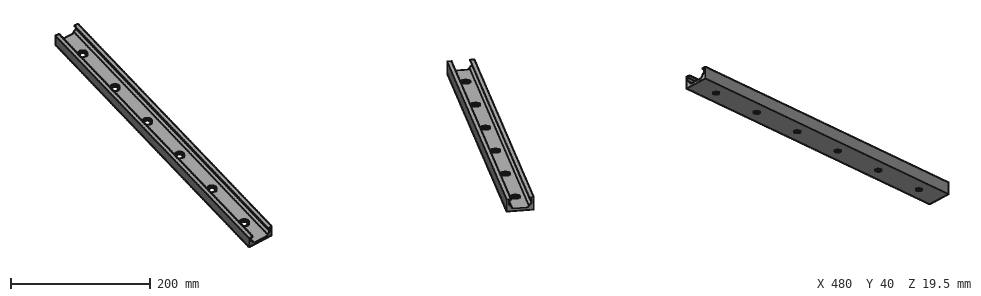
import cadquery as cq
import math

length = 480.0
width = 40.0
height = 19.5

floor_height = 4.5
floor_fillet = 3.0
shoulder_half_width = 12.5
raceway_half_width = 17.0
raceway_end_half_width = 16.5
raceway_bottom = 11.0
raceway_top = 16.5
lip_half_width = 13.5
lip_thickness = 1.0

hole_count = 6
hole_pitch = length / hole_count
hole_diameter = 9.5
counterbore_diameter = 14.0
counterbore_depth = 2.0


def channel_cutter():
    """Undercut channel, symmetric about the XZ plane, with rounded raceways, along the full rail."""
    raceway_middle = (raceway_bottom + raceway_top) / 2
    fillet_rise = floor_fillet * (1 - math.sqrt(0.5))
    fillet_middle = (shoulder_half_width - fillet_rise, floor_height + fillet_rise)
    half = (
        cq.Workplane("YZ")
        .moveTo(0, floor_height)
        .lineTo(shoulder_half_width - floor_fillet, floor_height)
        .threePointArc(fillet_middle, (shoulder_half_width, floor_height + floor_fillet))
        .lineTo(raceway_end_half_width, raceway_bottom)
        .threePointArc((raceway_half_width, raceway_middle), (raceway_end_half_width, raceway_top))
        .lineTo(lip_half_width, height - lip_thickness)
        .lineTo(lip_half_width, height)
        .lineTo(0, height)
        .close()
        .extrude(length / 2, both=True)
    )
    return half.union(half.mirror("XZ"))


def drill_mounting_holes(rail):
    """Row of counterbored holes down the middle of the channel floor."""
    return (
        rail.copyWorkplane(cq.Workplane("XY", origin=(0, 0, floor_height)))
        .rarray(hole_pitch, 5, hole_count, 1)
        .cboreHole(hole_diameter, counterbore_diameter, counterbore_depth)
    )


blank = cq.Workplane("XY").box(length, width, height, centered=(True, True, False))
result = drill_mounting_holes(blank.cut(channel_cutter()))